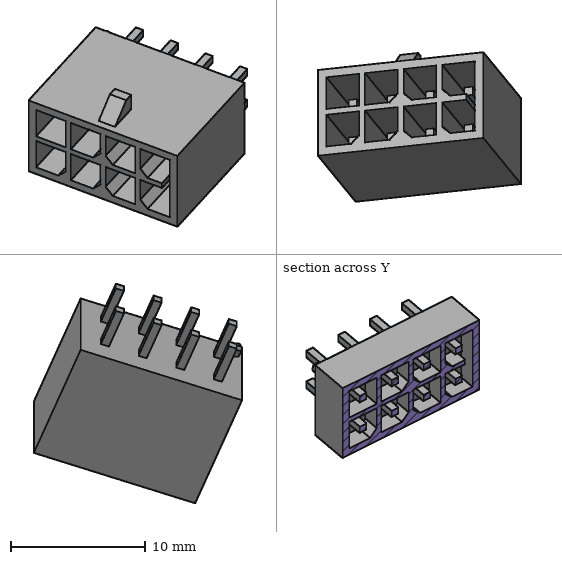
import cadquery as cq


BODY_WIDTH = 12.85
BODY_LENGTH = 9.91
BODY_HEIGHT = 6.86
BACK_WALL = 2.0

COLUMNS = 4
PITCH = 3.0
CAVITY_SIZE = 2.54
KEY_CHAMFER = 0.63
CAVITY_DEPTH = BODY_LENGTH - BACK_WALL
GAP_WIDTH = 0.67

OVERALL_LENGTH = 13.09
PIN_SIZE = 0.64
PIN_RECESS = 2.62

LATCH_WIDTH = 1.4
LATCH_HEIGHT = 1.4
LATCH_FRONT = 0.58
LATCH_BACK = 2.96
LATCH_FLAT = 0.73

PEG_DIAMETER = 0.82
PEG_LENGTH = 0.84
PEG_TIP_CHAMFER = 0.24
PEG_FROM_SIDE = 0.63
PEG_FROM_TOP = 0.94

UPPER_Z = PITCH / 2
LOWER_Z = -PITCH / 2
COLUMN_X = [(column - (COLUMNS - 1) / 2) * PITCH for column in range(COLUMNS)]

UPPER_KEYS = [0, 1, -1, -1]
LOWER_KEYS = [1, 1, -1, -1]


def box_along_y(width, height, x, z, y_start, y_end):
    """Box centred on (x, z) that spans y_start to y_end."""
    box = cq.Workplane("XY").box(width, y_end - y_start, height)
    return box.translate((x, (y_start + y_end) / 2, z))


def make_cavity(x, z, key_side):
    """Square cavity, open at the mating face, with its keyed lower corner filled."""
    cavity = box_along_y(CAVITY_SIZE, CAVITY_SIZE, x, z, 0, CAVITY_DEPTH)
    if key_side == 0:
        return cavity
    corner = "<X and <Z" if key_side < 0 else ">X and <Z"
    return cavity.edges("|Y").edges(corner).chamfer(KEY_CHAMFER)


def make_gap():
    """Opening between the rows, along the outer side of the last column."""
    x = COLUMN_X[-1] + (CAVITY_SIZE - GAP_WIDTH) / 2
    return box_along_y(GAP_WIDTH, PITCH, x, 0, 0, CAVITY_DEPTH)


def make_latch():
    """Ramp that rises from the front to a short flat top and drops off square."""
    base_z = BODY_HEIGHT / 2
    top_z = base_z + LATCH_HEIGHT
    outline = [
        (LATCH_FRONT, base_z),
        (LATCH_BACK, base_z),
        (LATCH_BACK, top_z),
        (LATCH_BACK - LATCH_FLAT, top_z),
    ]
    return cq.Workplane("YZ").polyline(outline).close().extrude(LATCH_WIDTH / 2, both=True)


def make_peg():
    """Round peg with a tapered tip, pointing out of the back face."""
    x = -BODY_WIDTH / 2 + PEG_FROM_SIDE
    z = BODY_HEIGHT / 2 - PEG_FROM_TOP
    peg = cq.Workplane("XZ").circle(PEG_DIAMETER / 2).extrude(-PEG_LENGTH)
    peg = peg.faces(">Y").chamfer(PEG_TIP_CHAMFER)
    return peg.translate((x, BODY_LENGTH, z))


result = box_along_y(BODY_WIDTH, BODY_HEIGHT, 0, 0, 0, BODY_LENGTH)

for row_z, keys in ((UPPER_Z, UPPER_KEYS), (LOWER_Z, LOWER_KEYS)):
    for column_x, key_side in zip(COLUMN_X, keys):
        result = result.cut(make_cavity(column_x, row_z, key_side))
        pin = box_along_y(PIN_SIZE, PIN_SIZE, column_x, row_z, PIN_RECESS, OVERALL_LENGTH)
        result = result.union(pin)

result = result.cut(make_gap()).union(make_latch()).union(make_peg())